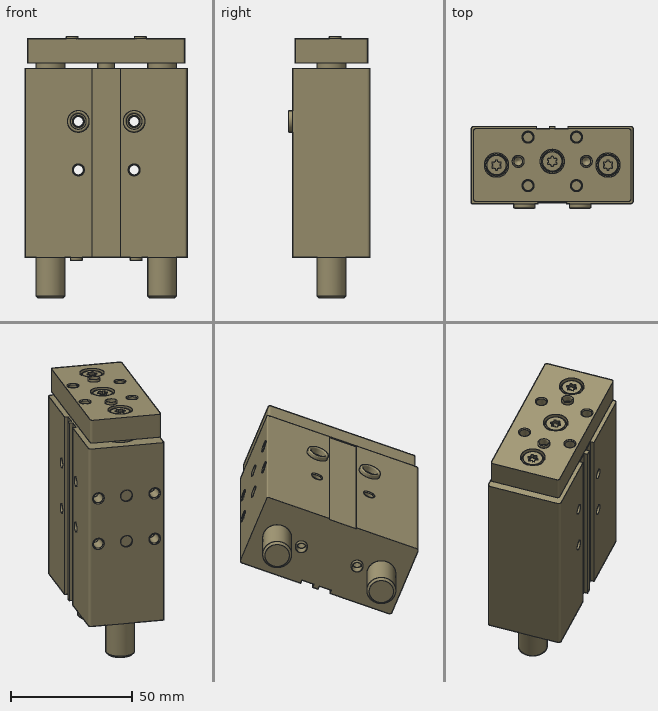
import cadquery as cq
import math

OVERALL_HEIGHT = 108.1

HOUSING_WIDTH = 67.0
HOUSING_DEPTH = 32.0
HOUSING_HEIGHT = 78.0
HOUSING_CORNER_RADIUS = 1.2
FRONT_LEFT_CORNER_RADIUS = 0.5
FRONT_FACE_Y = -HOUSING_DEPTH / 2
BACK_FACE_Y = HOUSING_DEPTH / 2
LEFT_FACE_X = -HOUSING_WIDTH / 2

CHANNEL_WIDTH = 11.9
CHANNEL_DEPTH = 0.4

SLOT_WIDTH = 13.0
SLOT_DEPTH = 1.5
RIB_WIDTH = 2.4

PLATE_WIDTH = 65.0
PLATE_DEPTH = 30.0
PLATE_THICKNESS = 10.0
PLATE_CORNER_RADIUS = 1.0
PLATE_GAP = 2.2
PLATE_BOTTOM = HOUSING_HEIGHT + PLATE_GAP
PLATE_TOP = PLATE_BOTTOM + PLATE_THICKNESS

ROD_DIAMETER = 12.0
ROD_SPACING = 46.0
ROD_CHAMFER = 1.0
PISTON_ROD_DIAMETER = 7.0
PISTON_ROD_Y = 1.5
PISTON_ROD_ENGAGEMENT = HOUSING_HEIGHT / 2

COUNTERBORE_DIAMETER = 10.0
COUNTERBORE_DEPTH = 2.2
HEAD_DIAMETER = 9.0
HEAD_CHAMFER = 0.49
HEAD_RECESS = 0.5
SOCKET_DEPTH = 1.6
SOCKET_CORE_DIAMETER = 3.1
SOCKET_LOBE_DIAMETER = 1.0
SOCKET_OUTER_DIAMETER = 4.3
SOCKET_LOBES = 6

HOLE_DIAMETER = 4.1
HOLE_MOUTH_DIAMETER = 5.0
HOLE_SPACING = 20.0
DRILL_POINT_ANGLE = 118.0
FRONT_HOLE_SPACING = 23.0
LOWER_ROW_HEIGHT = 36.1
HOLE_ROW_HEIGHTS = (LOWER_ROW_HEIGHT, LOWER_ROW_HEIGHT + HOLE_SPACING)
SIDE_HOLE_SPACING = 24.0
SIDE_HOLE_DEPTH = 7.6
SIDE_RECESS_DIAMETER = 5.0
SIDE_RECESS_DEPTH = 0.8

LARGE_SLEEVE_OUTER = 9.0
LARGE_SLEEVE_INNER = 6.5
LARGE_SLEEVE_PROTRUSION = 1.8
LARGE_SLEEVE_SEAT = 1.1

SMALL_SLEEVE_OUTER = 5.0
SMALL_SLEEVE_INNER = 3.7
SMALL_SLEEVE_SEAT = 1.7
TOP_SLEEVE_SPACING = 28.1
TOP_SLEEVE_PROTRUSION = 1.0
BOTTOM_SLEEVE_SPACING = 24.6
BOTTOM_SLEEVE_PROTRUSION = 1.3
SLEEVE_HOLE_DEPTH = 1.9

ROD_BOTTOM = PLATE_TOP + TOP_SLEEVE_PROTRUSION - OVERALL_HEIGHT

DOWN = cq.Vector(0, 0, -1)
UP = cq.Vector(0, 0, 1)
BACKWARD = cq.Vector(0, 1, 0)
RIGHTWARD = cq.Vector(1, 0, 0)


def pair(spacing):
    """Two places spread evenly about zero."""
    return (-spacing / 2, spacing / 2)


def axis_plane(mouth, inward):
    """Sketch plane whose x is the radius and whose y is the depth inward from the mouth."""
    radial = cq.Vector(0, 1, 0) if inward.x else cq.Vector(1, 0, 0)
    return cq.Workplane(cq.Plane(origin=mouth, xDir=radial, normal=radial.cross(inward)))


def cylinder(diameter, length, mouth, inward):
    """Cylinder running inward from its mouth."""
    return cq.Workplane(cq.Solid.makeCylinder(diameter / 2, length, cq.Vector(*mouth), inward))


def mouth_chamfer(diameter, mouth_diameter, mouth, inward):
    """45-degree cone that opens a hole to its mouth diameter."""
    depth = (mouth_diameter - diameter) / 2
    return cq.Workplane(
        cq.Solid.makeCone(mouth_diameter / 2, diameter / 2, depth, cq.Vector(*mouth), inward)
    )


def drilled_hole(diameter, depth, mouth, inward):
    """Blind hole with a conical drill point beyond its depth."""
    point_depth = diameter / 2 / math.tan(math.radians(DRILL_POINT_ANGLE / 2))
    profile = [(0, 0), (diameter / 2, 0), (diameter / 2, depth), (0, depth + point_depth)]
    return axis_plane(mouth, inward).polyline(profile).close().revolve(360, (0, 0), (0, 1))


def sleeve(outer, inner, protrusion, seat, mouth, inward):
    """Centring sleeve seated in a face at its mouth, the rim of its standing end fully rounded."""
    outer_radius = outer / 2
    inner_radius = inner / 2
    rim_radius = (outer_radius - inner_radius) / 2
    rim_start = rim_radius - protrusion
    profile = (
        axis_plane(mouth, inward)
        .moveTo(inner_radius, seat)
        .lineTo(inner_radius, rim_start)
        .threePointArc((inner_radius + rim_radius, -protrusion), (outer_radius, rim_start))
        .lineTo(outer_radius, seat)
        .close()
    )
    return profile.revolve(360, (0, 0), (0, 1))


FRONT_HOLE_PLACES = [
    (x, FRONT_FACE_Y, z) for x in pair(FRONT_HOLE_SPACING) for z in HOLE_ROW_HEIGHTS
]
SIDE_HOLE_PLACES = [
    (LEFT_FACE_X, y, z) for y in pair(SIDE_HOLE_SPACING) for z in HOLE_ROW_HEIGHTS
]
FRONT_SLEEVE_PLACES = [(x, FRONT_FACE_Y, HOLE_ROW_HEIGHTS[1]) for x in pair(FRONT_HOLE_SPACING)]
TOP_SLEEVE_PLACES = [(x, PISTON_ROD_Y, PLATE_TOP) for x in pair(TOP_SLEEVE_SPACING)]
BOTTOM_SLEEVE_PLACES = [(x, 0, 0) for x in pair(BOTTOM_SLEEVE_SPACING)]
SCREW_PLACES = [(x, 0, PLATE_TOP) for x in pair(ROD_SPACING)] + [(0, PISTON_ROD_Y, PLATE_TOP)]
PLATE_HOLE_PLACES = [
    (x, PISTON_ROD_Y + y, PLATE_TOP) for x in pair(HOLE_SPACING) for y in pair(HOLE_SPACING)
]


def make_guide_rod(x):
    """Round rod from the plate underside down through the housing."""
    rod = cylinder(ROD_DIAMETER, PLATE_BOTTOM - ROD_BOTTOM, (x, 0, ROD_BOTTOM), UP)
    return rod.faces("<Z").chamfer(ROD_CHAMFER)


def make_front_channel():
    """Shallow channel along the full height."""
    channel = cq.Workplane("XY").center(0, FRONT_FACE_Y + CHANNEL_DEPTH / 2)
    return channel.rect(CHANNEL_WIDTH, CHANNEL_DEPTH).extrude(HOUSING_HEIGHT)


def make_back_slot():
    """Two full-height slots that leave the rib between them."""
    slot_width = (SLOT_WIDTH - RIB_WIDTH) / 2
    centers = [(x, BACK_FACE_Y - SLOT_DEPTH / 2) for x in pair(RIB_WIDTH + slot_width)]
    return cq.Workplane("XY").pushPoints(centers).rect(slot_width, SLOT_DEPTH).extrude(HOUSING_HEIGHT)


def make_housing():
    """Body with its channels, mounting holes, sleeve seats and rod bores."""
    body = cq.Workplane("XY").rect(HOUSING_WIDTH, HOUSING_DEPTH).extrude(HOUSING_HEIGHT)
    body = body.edges("|Z and (>X or >Y)").fillet(HOUSING_CORNER_RADIUS)
    front_left_corner = (LEFT_FACE_X, FRONT_FACE_Y, HOUSING_HEIGHT / 2)
    front_left_edge = cq.selectors.NearestToPointSelector(front_left_corner)
    body = body.edges(front_left_edge).fillet(FRONT_LEFT_CORNER_RADIUS)
    body = body.cut(make_front_channel()).cut(make_back_slot())

    for x, y, z in FRONT_HOLE_PLACES:
        seat = LARGE_SLEEVE_SEAT if (x, y, z) in FRONT_SLEEVE_PLACES else 0
        mouth = (x, y + seat, z)
        body = body.cut(cylinder(HOLE_DIAMETER, HOUSING_DEPTH, (x, y, z), BACKWARD))
        body = body.cut(mouth_chamfer(HOLE_DIAMETER, HOLE_MOUTH_DIAMETER, mouth, BACKWARD))

    for mouth in FRONT_SLEEVE_PLACES:
        body = body.cut(cylinder(LARGE_SLEEVE_OUTER, LARGE_SLEEVE_SEAT, mouth, BACKWARD))
    for mouth in BOTTOM_SLEEVE_PLACES:
        body = body.cut(cylinder(SMALL_SLEEVE_OUTER, SMALL_SLEEVE_SEAT, mouth, UP))
        body = body.cut(drilled_hole(SMALL_SLEEVE_INNER, SLEEVE_HOLE_DEPTH, mouth, UP))

    for mouth in SIDE_HOLE_PLACES:
        body = body.cut(drilled_hole(HOLE_DIAMETER, SIDE_HOLE_DEPTH, mouth, RIGHTWARD))
        body = body.cut(mouth_chamfer(HOLE_DIAMETER, HOLE_MOUTH_DIAMETER, mouth, RIGHTWARD))
    for z in HOLE_ROW_HEIGHTS:
        mouth = (LEFT_FACE_X, 0, z)
        body = body.cut(cylinder(SIDE_RECESS_DIAMETER, SIDE_RECESS_DEPTH, mouth, RIGHTWARD))

    for x in pair(ROD_SPACING):
        body = body.cut(cylinder(ROD_DIAMETER, HOUSING_HEIGHT, (x, 0, 0), UP))
    piston_mouth = (0, PISTON_ROD_Y, HOUSING_HEIGHT)
    return body.cut(cylinder(PISTON_ROD_DIAMETER, PISTON_ROD_ENGAGEMENT, piston_mouth, DOWN))


def make_socket(x, y, head_top):
    """Six-lobed drive socket."""
    socket = cylinder(SOCKET_CORE_DIAMETER, SOCKET_DEPTH, (x, y, head_top), DOWN)
    lobe_reach = (SOCKET_OUTER_DIAMETER - SOCKET_LOBE_DIAMETER) / 2
    for index in range(SOCKET_LOBES):
        angle = math.radians(90 + index * 360 / SOCKET_LOBES)
        lobe_x = x + lobe_reach * math.cos(angle)
        lobe_y = y + lobe_reach * math.sin(angle)
        socket = socket.union(cylinder(SOCKET_LOBE_DIAMETER, SOCKET_DEPTH, (lobe_x, lobe_y, head_top), DOWN))
    return socket


def add_screw_head(plate, place):
    """Counterbore with a chamfered screw head standing in it, clear of the bore wall."""
    x, y, top = place
    head_top = top - HEAD_RECESS
    head = cylinder(HEAD_DIAMETER, COUNTERBORE_DEPTH - HEAD_RECESS, (x, y, head_top), DOWN)
    head = head.faces(">Z").chamfer(HEAD_CHAMFER)
    plate = plate.cut(cylinder(COUNTERBORE_DIAMETER, COUNTERBORE_DEPTH, place, DOWN))
    return plate.union(head).cut(make_socket(x, y, head_top))


def make_yoke_plate():
    """Plate with screw heads, threaded holes, sleeve seats and the piston rod below it."""
    plate = cq.Workplane("XY", origin=(0, 0, PLATE_BOTTOM))
    plate = plate.rect(PLATE_WIDTH, PLATE_DEPTH).extrude(PLATE_THICKNESS)
    plate = plate.edges("|Z").fillet(PLATE_CORNER_RADIUS)
    for place in SCREW_PLACES:
        plate = add_screw_head(plate, place)
    for mouth in PLATE_HOLE_PLACES:
        plate = plate.cut(cylinder(HOLE_DIAMETER, PLATE_THICKNESS, mouth, DOWN))
        plate = plate.cut(mouth_chamfer(HOLE_DIAMETER, HOLE_MOUTH_DIAMETER, mouth, DOWN))
    for mouth in TOP_SLEEVE_PLACES:
        plate = plate.cut(cylinder(SMALL_SLEEVE_OUTER, SMALL_SLEEVE_SEAT, mouth, DOWN))
        plate = plate.cut(drilled_hole(SMALL_SLEEVE_INNER, SLEEVE_HOLE_DEPTH, mouth, DOWN))
    rod_length = PLATE_GAP + PISTON_ROD_ENGAGEMENT
    return plate.union(cylinder(PISTON_ROD_DIAMETER, rod_length, (0, PISTON_ROD_Y, PLATE_BOTTOM), DOWN))


def make_front_sleeve(mouth):
    """Large sleeve standing out of the housing front."""
    return sleeve(
        LARGE_SLEEVE_OUTER, LARGE_SLEEVE_INNER, LARGE_SLEEVE_PROTRUSION, LARGE_SLEEVE_SEAT, mouth, BACKWARD
    )


def make_small_sleeve(protrusion, mouth, inward):
    """Small sleeve for the plate top or the housing underside."""
    return sleeve(SMALL_SLEEVE_OUTER, SMALL_SLEEVE_INNER, protrusion, SMALL_SLEEVE_SEAT, mouth, inward)


housing = make_housing()
yoke_plate = make_yoke_plate()
guide_rods = [make_guide_rod(x) for x in pair(ROD_SPACING)]
front_sleeves = [make_front_sleeve(mouth) for mouth in FRONT_SLEEVE_PLACES]
top_sleeves = [make_small_sleeve(TOP_SLEEVE_PROTRUSION, mouth, DOWN) for mouth in TOP_SLEEVE_PLACES]
bottom_sleeves = [make_small_sleeve(BOTTOM_SLEEVE_PROTRUSION, mouth, UP) for mouth in BOTTOM_SLEEVE_PLACES]

result = cq.Compound.makeCompound([
    housing.val(),
    yoke_plate.val(),
    *[rod.val() for rod in guide_rods],
    *[ring.val() for ring in front_sleeves],
    *[ring.val() for ring in top_sleeves],
    *[ring.val() for ring in bottom_sleeves],
])